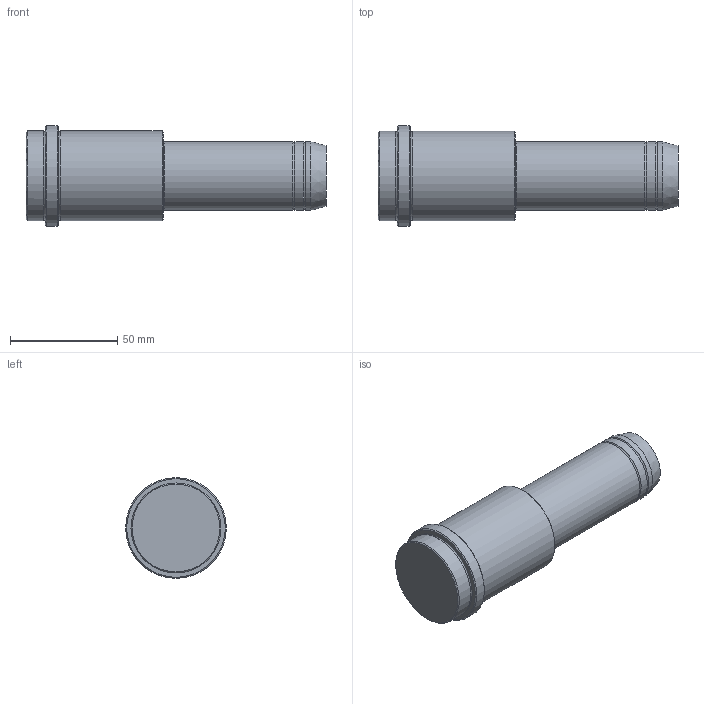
import cadquery as cq
import math

total_length = 140.0

body_diameter = 42.0
body_length = 64.0
edge_chamfer = 0.5

collar_diameter = 47.0
collar_start = 9.0
collar_width = 6.0
collar_end = collar_start + collar_width

groove_radius = 0.5
relief_centers = (collar_start - groove_radius, collar_end + groove_radius)
shank_groove_centers = (125.0, 130.0)

shank_diameter = 32.0
neck_fillet = 0.5
nose_length = 7.0
nose_half_angle = 15.0
nose_start = total_length - nose_length
nose_tip_radius = shank_diameter / 2 - nose_length * math.tan(math.radians(nose_half_angle))


def revolve_about_x(profile):
    """Full turn of a closed XZ profile about the X axis."""
    return profile.revolve(360, (0, 0, 0), (1, 0, 0))


def chamfered_cylinder(start, end, diameter):
    """Cylinder along X between two stations, with both rims chamfered."""
    cylinder = cq.Workplane("YZ", origin=(start, 0, 0)).circle(diameter / 2).extrude(end - start)
    return cylinder.faces("<X or >X").chamfer(edge_chamfer)


def ring_groove(center, diameter):
    """Torus that cuts a semicircular groove into a cylinder of the given diameter."""
    section = cq.Workplane("XZ").moveTo(center, diameter / 2).circle(groove_radius)
    return revolve_about_x(section)


def make_body():
    """Body with a groove against each side of its collar."""
    body = chamfered_cylinder(0, body_length, body_diameter)
    for center in relief_centers:
        body = body.cut(ring_groove(center, body_diameter))
    return body.union(chamfered_cylinder(collar_start, collar_end, collar_diameter))


def make_shank():
    """Shank with a fillet at its root, a tapered nose and two ring grooves."""
    radius = shank_diameter / 2
    fillet_end = body_length + neck_fillet
    arc_offset = neck_fillet * (1 - math.sqrt(0.5))
    profile = (
        cq.Workplane("XZ")
        .moveTo(body_length, 0)
        .lineTo(body_length, radius + neck_fillet)
        .threePointArc((body_length + arc_offset, radius + arc_offset), (fillet_end, radius))
        .lineTo(nose_start, radius)
        .lineTo(total_length, nose_tip_radius)
        .lineTo(total_length, 0)
        .close()
    )
    shank = revolve_about_x(profile)
    for center in shank_groove_centers:
        shank = shank.cut(ring_groove(center, shank_diameter))
    return shank


result = make_body().union(make_shank())